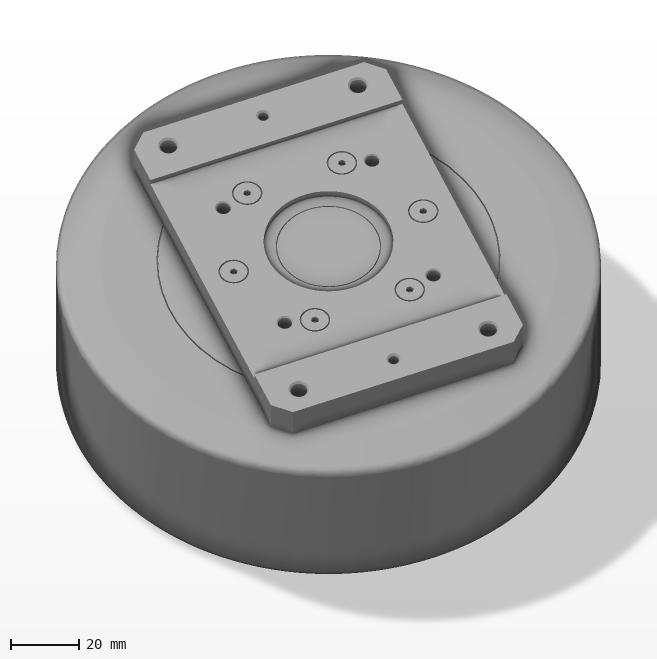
import cadquery as cq
import math

body_diameter = 160.0
body_bottom = 0.5
body_top = 50.0
flat_diameter = 134.0
cone_drop = 1.0
rim_radius = 2.0

rotor_diameter = 100.0
rotor_gap = 0.5
rotor_gap_depth = 1.0
neck_diameter = 70.4

overall_height = 61.0
plate_length = 115.0
plate_width = 80.0
plate_thickness = 10.0
corner_chamfer = 5.0
channel_width = 80.0
channel_depth = 2.0
plate_bottom = overall_height - plate_thickness
channel_floor = overall_height - channel_depth

recess_diameter = 38.0
recess_depth = 2.4
shaft_diameter = 30.2
shaft_gap = 0.3
shaft_gap_depth = 1.0

screw_count = 6
screw_circle_radius = 30.0
screw_head_diameter = 8.0
screw_gap = 0.5
screw_gap_depth = 1.0
socket_corner_diameter = 2.4
socket_depth = 2.0

channel_hole_diameter = 4.2
channel_hole_mouth = 5.0
channel_hole_pitch = 47.2
rail_hole_diameter = 5.0
rail_hole_mouth = 6.0
rail_hole_x = 50.0
rail_hole_y = 30.0
pin_hole_diameter = 3.0
pin_hole_mouth = 4.2


def disc(diameter, bottom, top):
    return cq.Workplane("XY").workplane(offset=bottom).circle(diameter / 2).extrude(top - bottom)


def ring_groove(inner_diameter, gap, top, depth):
    outer_diameter = inner_diameter + 2 * gap
    return disc(outer_diameter, top - depth, top).cut(disc(inner_diameter, top - depth, top))


def countersunk_hole(diameter, mouth_diameter, top):
    """Hole through the plate with a 45 degree countersink at its mouth."""
    radius = diameter / 2
    mouth_radius = mouth_diameter / 2
    return (
        cq.Workplane("XZ")
        .moveTo(0, plate_bottom)
        .lineTo(radius, plate_bottom)
        .lineTo(radius, top - (mouth_radius - radius))
        .lineTo(mouth_radius, top)
        .lineTo(0, top)
        .close()
        .revolve(360, (0, 0, 0), (0, 1, 0))
    )


def cut_at(part, tool, places):
    for x, y in places:
        part = part.cut(tool.translate((x, y, 0)))
    return part


def make_body():
    radius = body_diameter / 2
    flat_radius = flat_diameter / 2
    body = (
        cq.Workplane("XZ")
        .moveTo(0, body_bottom)
        .lineTo(flat_radius, body_bottom)
        .lineTo(radius, body_bottom + cone_drop)
        .lineTo(radius, body_top - cone_drop)
        .lineTo(flat_radius, body_top)
        .lineTo(0, body_top)
        .close()
        .revolve(360, (0, 0, 0), (0, 1, 0))
    )
    widest_edges = cq.selectors.RadiusNthSelector(-1)
    body = body.edges("%CIRCLE").edges(widest_edges).fillet(rim_radius)
    body = body.cut(ring_groove(rotor_diameter, rotor_gap, body_top, rotor_gap_depth))
    body = body.union(disc(rotor_diameter, 0, body_bottom))
    return body.union(disc(neck_diameter, body_top, plate_bottom))


def make_plate():
    plate = (
        cq.Workplane("XY")
        .workplane(offset=plate_bottom)
        .rect(plate_length, plate_width)
        .extrude(plate_thickness)
        .edges("|Z")
        .chamfer(corner_chamfer)
    )
    channel = (
        cq.Workplane("XY")
        .workplane(offset=channel_floor)
        .rect(channel_width, plate_width)
        .extrude(channel_depth)
    )
    return plate.cut(channel)


def cut_center_recess(part):
    recess_floor = channel_floor - recess_depth
    part = part.cut(disc(recess_diameter, recess_floor, channel_floor))
    return part.cut(ring_groove(shaft_diameter, shaft_gap, recess_floor, shaft_gap_depth))


def cut_screws(part):
    groove = ring_groove(screw_head_diameter, screw_gap, channel_floor, screw_gap_depth)
    socket = (
        cq.Workplane("XY")
        .workplane(offset=channel_floor - socket_depth)
        .transformed(rotate=(0, 0, 90))
        .polygon(6, socket_corner_diameter)
        .extrude(socket_depth)
    )
    places = []
    for i in range(screw_count):
        angle = math.radians(90 + i * 360 / screw_count)
        places.append((screw_circle_radius * math.cos(angle), screw_circle_radius * math.sin(angle)))
    part = cut_at(part, groove, places)
    return cut_at(part, socket, places)


def cut_plate_holes(part):
    sides = (-1, 1)
    offset = channel_hole_pitch / 2
    channel_places = [(sx * offset, sy * offset) for sx in sides for sy in sides]
    rail_places = [(sx * rail_hole_x, sy * rail_hole_y) for sx in sides for sy in sides]
    pin_places = [(sx * rail_hole_x, 0) for sx in sides]
    channel_hole = countersunk_hole(channel_hole_diameter, channel_hole_mouth, channel_floor)
    rail_hole = countersunk_hole(rail_hole_diameter, rail_hole_mouth, overall_height)
    pin_hole = countersunk_hole(pin_hole_diameter, pin_hole_mouth, overall_height)
    part = cut_at(part, channel_hole, channel_places)
    part = cut_at(part, rail_hole, rail_places)
    return cut_at(part, pin_hole, pin_places)


result = make_body().union(make_plate())
result = cut_center_recess(result)
result = cut_screws(result)
result = cut_plate_holes(result)